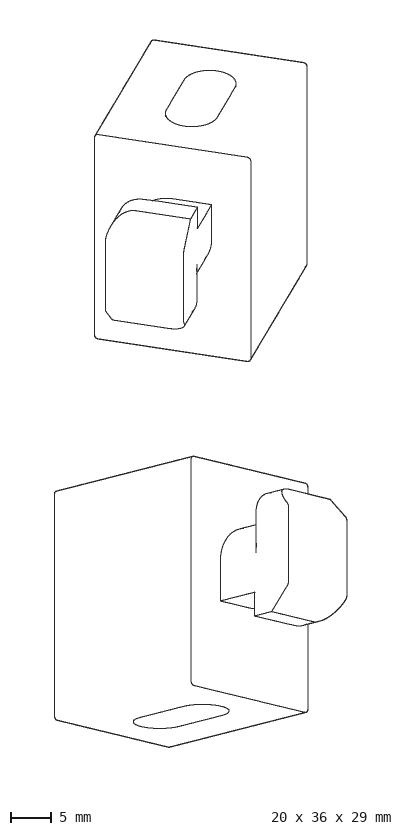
import cadquery as cq
import math

BLOCK_WIDTH = 20.0
BLOCK_DEPTH = 24.0
BLOCK_HEIGHT = 29.0
BLOCK_EDGE_RADIUS = 0.5

SLOT_WIDTH = 6.5
SLOT_LENGTH = 14.0

KEY_WIDTH = 10.0
KEY_AXIS_Z = 16.5
NECK_LENGTH = 6.0
NECK_HEIGHT = KEY_WIDTH
NECK_CORNER_RADIUS = KEY_WIDTH / 2
HEAD_LENGTH = 6.0
HEAD_HEIGHT = 16.0
HEAD_CORNER_RADIUS = 3.0
HEAD_CHAMFER = 3.0
HEAD_NOSE_RADIUS = 1.0

RAMP_ANGLE = 3.0

HEAD_BACK_Y = -NECK_LENGTH
HEAD_FRONT_Y = HEAD_BACK_Y - HEAD_LENGTH


def make_block():
    """Plain block with its four long edges (along Y) rounded."""
    block = cq.Workplane("XY").box(
        BLOCK_WIDTH, BLOCK_DEPTH, BLOCK_HEIGHT, centered=(True, False, False)
    )
    return block.edges("|Y").fillet(BLOCK_EDGE_RADIUS)


def make_slot():
    """Cutter for the vertical slot with round ends."""
    return (
        cq.Workplane("XY")
        .center(0, BLOCK_DEPTH / 2)
        .slot2D(SLOT_LENGTH, SLOT_WIDTH, 90)
        .extrude(BLOCK_HEIGHT)
    )


def turn_key_bar(back_y, length, height, corner_radius):
    """Bar along -Y with its upper -X and lower +X corners rounded, so it can turn in a groove."""
    half_width = KEY_WIDTH / 2
    half_height = height / 2
    bend = corner_radius * (1 - math.sqrt(0.5))
    return (
        cq.Workplane("XZ", origin=(0, back_y, KEY_AXIS_Z))
        .moveTo(-half_width, -half_height)
        .lineTo(half_width - corner_radius, -half_height)
        .threePointArc(
            (half_width - bend, -half_height + bend),
            (half_width, -half_height + corner_radius),
        )
        .lineTo(half_width, half_height)
        .lineTo(-half_width + corner_radius, half_height)
        .threePointArc(
            (-half_width + bend, half_height - bend),
            (-half_width, half_height - corner_radius),
        )
        .close()
        .extrude(length)
    )


def head_profile():
    """Side profile of the head: both front corners chamfered and blended into the nose face."""
    half_height = HEAD_HEIGHT / 2
    shoulder_y = HEAD_FRONT_Y + HEAD_CHAMFER
    nose_half_height = half_height - HEAD_CHAMFER
    profile = (
        cq.Workplane("YZ", origin=(-KEY_WIDTH / 2, 0, KEY_AXIS_Z))
        .moveTo(HEAD_BACK_Y, -half_height)
        .lineTo(shoulder_y, -half_height)
        .lineTo(HEAD_FRONT_Y, -nose_half_height)
        .lineTo(HEAD_FRONT_Y, nose_half_height)
        .lineTo(shoulder_y, half_height)
        .lineTo(HEAD_BACK_Y, half_height)
        .close()
        .extrude(KEY_WIDTH)
    )
    return profile.faces("<Y").edges("|X").fillet(HEAD_NOSE_RADIUS)


def make_ramp():
    """Wedge cutter for the back of the head, in the upper -X quarter around the key axis."""
    half_width = KEY_WIDTH / 2
    ramp_depth = half_width * math.tan(math.radians(RAMP_ANGLE))
    return (
        cq.Workplane("XY", origin=(0, HEAD_BACK_Y, KEY_AXIS_Z))
        .moveTo(0, 0)
        .lineTo(-half_width, 0)
        .lineTo(-half_width, -ramp_depth)
        .close()
        .extrude(HEAD_HEIGHT / 2)
    )


def make_head():
    """Head of the key, with one ramp in each of the two rounded quarters."""
    head = turn_key_bar(HEAD_BACK_Y, HEAD_LENGTH, HEAD_HEIGHT, HEAD_CORNER_RADIUS)
    head = head.intersect(head_profile())
    ramp = make_ramp()
    axis_start = (0, 0, KEY_AXIS_Z)
    axis_end = (0, 1, KEY_AXIS_Z)
    for turn in (0, 180):
        head = head.cut(ramp.rotate(axis_start, axis_end, turn))
    return head


def make_neck():
    """Neck of the key, running on into the head so that it bridges the ramps."""
    neck_reach = NECK_LENGTH + HEAD_LENGTH / 2
    return turn_key_bar(0, neck_reach, NECK_HEIGHT, NECK_CORNER_RADIUS)


body = make_block().cut(make_slot())
result = body.union(make_neck()).union(make_head())